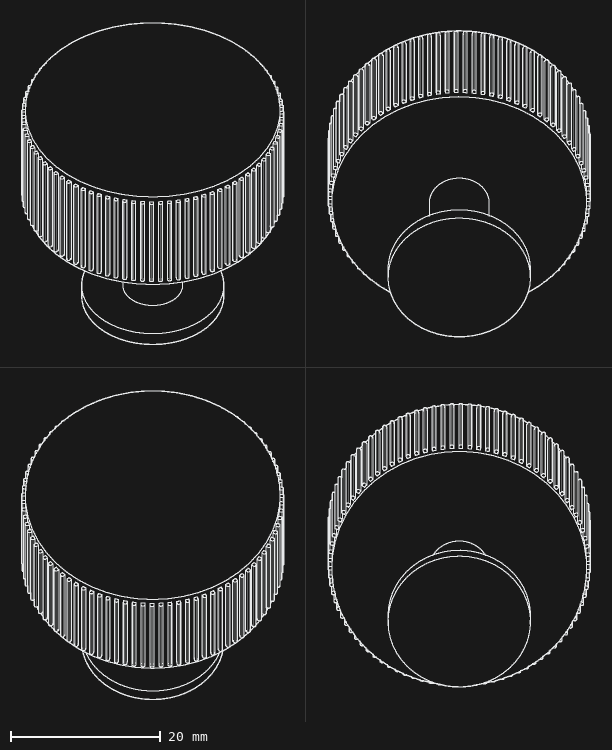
import cadquery as cq

flange_diameter = 19.0
flange_height = 2.0
stem_diameter = 8.0
stem_length = 16.0

head_diameter = 34.0
head_height = 16.0

rib_count = 90
rib_width = 0.5
rib_height = 0.5
rib_corner_radius = 0.2
rim_below_ribs = 1.0
rim_above_ribs = 0.9
first_rib_angle = -1.0

head_radius = head_diameter / 2
head_bottom = flange_height + stem_length
rib_bottom = head_bottom + rim_below_ribs
rib_length = head_height - rim_below_ribs - rim_above_ribs


def disc(diameter, height, bottom):
    """Solid cylinder on the Z axis, standing on the given level."""
    return cq.Workplane("XY").workplane(offset=bottom).circle(diameter / 2).extrude(height)


def ribs():
    """Ring of vertical bars with rounded corners, half sunk into the rim of the head."""
    return (
        cq.Workplane("XY")
        .workplane(offset=rib_bottom)
        .polarArray(head_radius, first_rib_angle, 360, rib_count)
        .rect(2 * rib_height, rib_width)
        .extrude(rib_length)
        .edges("|Z")
        .fillet(rib_corner_radius)
    )


flange = disc(flange_diameter, flange_height, 0)
stem = disc(stem_diameter, stem_length, flange_height)
head = disc(head_diameter, head_height, head_bottom)

result = flange.union(stem).union(head).union(ribs())